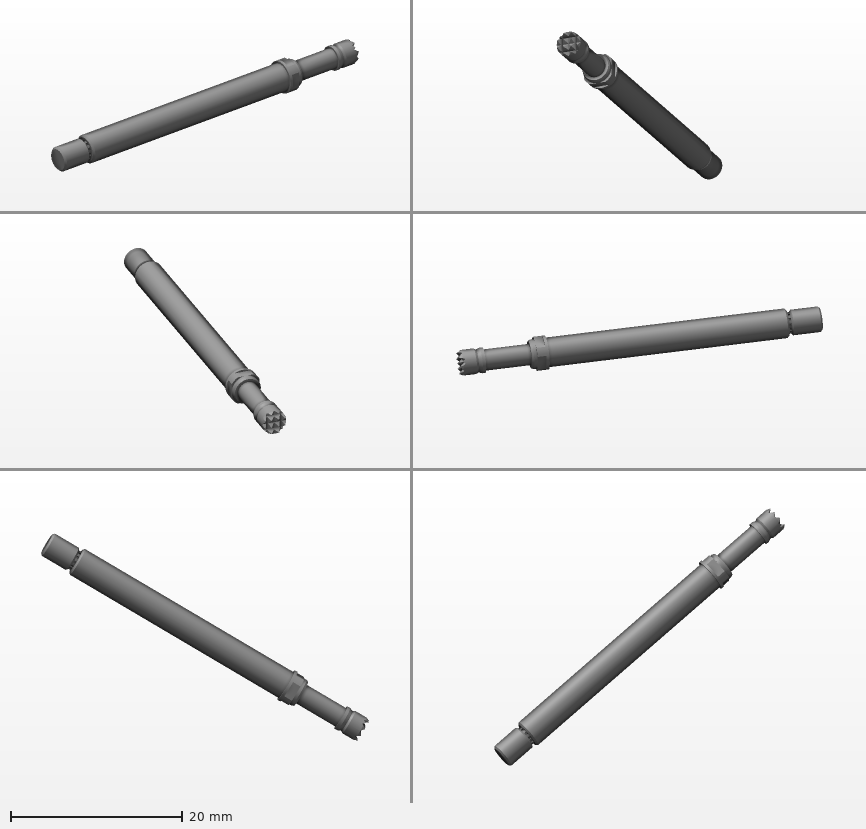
import cadquery as cq
import math

LENGTH = 43.1

COLLAR_RADIUS = 2.005
SLEEVE_RADIUS = 1.745
HEAD_RADIUS = 1.5
TAIL_RADIUS = HEAD_RADIUS
PLUNGER_RADIUS = 1.25
TAIL_NECK_RADIUS = PLUNGER_RADIUS
HEAD_GROOVE_DEPTH = 0.17

TAIL_SHOULDER = 3.45
SLEEVE_START = 3.95
COLLAR_START = 32.6
COLLAR_END = 33.95
SLEEVE_END = 34.6
HEAD_START = 40.05
HEAD_GROOVE_START = 40.43
HEAD_GROOVE_FLOOR = 40.85
HEAD_GROOVE_END = 41.1

EDGE_CHAMFER = 0.2
TAIL_SHOULDER_CHAMFER = 0.2
SLEEVE_RIM_WIDTH = 0.15
SLEEVE_RIM_HEIGHT = 0.25

FLUTE_COUNT = 12
FLUTE_DEPTH = 0.2
FLUTE_WIDTH = 2 * TAIL_NECK_RADIUS * math.sin(math.pi / FLUTE_COUNT / 2)

FLAT_COUNT = 4
FLAT_START = 32.93
FLAT_DISTANCE = SLEEVE_RADIUS

CROWN_QUARTERS = 4
CROWN_HEIGHT = 0.45
CROWN_TIP_RADIUS = 1.35
SIDE_GROOVE_OFFSET = 0.85
SIDE_GROOVE_WIDTH = 0.78
SIDE_GROOVE_ANGLE = 60.0
MIDDLE_GROOVE_WIDTH = 2 * SIDE_GROOVE_OFFSET - SIDE_GROOVE_WIDTH
MIDDLE_GROOVE_ANGLE = 90.0


def turned_body():
    """Revolve the half section, listed as (radius, Y) from the tail to the crown."""
    crown_base = LENGTH - CROWN_HEIGHT
    outline = [
        (0, 0),
        (TAIL_RADIUS - EDGE_CHAMFER, 0),
        (TAIL_RADIUS, EDGE_CHAMFER),
        (TAIL_RADIUS, TAIL_SHOULDER),
        (TAIL_NECK_RADIUS, TAIL_SHOULDER + TAIL_SHOULDER_CHAMFER),
        (TAIL_NECK_RADIUS, SLEEVE_START),
        (SLEEVE_RADIUS - EDGE_CHAMFER, SLEEVE_START),
        (SLEEVE_RADIUS, SLEEVE_START + EDGE_CHAMFER),
        (SLEEVE_RADIUS, COLLAR_START),
        (COLLAR_RADIUS, COLLAR_START),
        (COLLAR_RADIUS, COLLAR_END),
        (SLEEVE_RADIUS, COLLAR_END),
        (SLEEVE_RADIUS, SLEEVE_END - SLEEVE_RIM_HEIGHT),
        (SLEEVE_RADIUS - SLEEVE_RIM_WIDTH, SLEEVE_END),
        (PLUNGER_RADIUS, SLEEVE_END),
        (PLUNGER_RADIUS, HEAD_START),
        (HEAD_RADIUS, HEAD_START),
        (HEAD_RADIUS, HEAD_GROOVE_START),
        (HEAD_RADIUS - HEAD_GROOVE_DEPTH, HEAD_GROOVE_FLOOR),
        (HEAD_RADIUS, HEAD_GROOVE_END),
        (HEAD_RADIUS, crown_base),
        (CROWN_TIP_RADIUS, LENGTH),
        (0, LENGTH),
    ]
    return cq.Workplane("XY").polyline(outline).close().revolve(360, (0, 0), (0, 1))


def collar_flat():
    """Block that trims the +Z side of the collar down to the flat."""
    return (
        cq.Workplane("XY", origin=(0, 0, FLAT_DISTANCE))
        .rect(2 * COLLAR_RADIUS, 2 * (COLLAR_END - FLAT_START))
        .extrude(COLLAR_RADIUS)
        .translate((0, COLLAR_END, 0))
    )


def neck_flute():
    """Block that cuts one shallow flute into the +Z side of the tail neck."""
    start = TAIL_SHOULDER + TAIL_SHOULDER_CHAMFER
    return (
        cq.Workplane("XZ", origin=(0, SLEEVE_START, 0))
        .center(0, TAIL_NECK_RADIUS)
        .rect(FLUTE_WIDTH, 2 * FLUTE_DEPTH)
        .extrude(SLEEVE_START - start)
    )


def v_groove(offset, width, angle):
    """V cutter running along Z across the end of the head, centred at X = offset."""
    depth = width / 2 / math.tan(math.radians(angle / 2))
    return (
        cq.Workplane("XY")
        .moveTo(offset - width / 2, LENGTH)
        .lineTo(offset, LENGTH - depth)
        .lineTo(offset + width / 2, LENGTH)
        .close()
        .extrude(HEAD_RADIUS, both=True)
    )


def cut_around(body, cutter, count):
    """Cut the body with evenly spaced copies of the cutter, turned about the Y axis."""
    for i in range(count):
        body = body.cut(cutter.rotate((0, 0, 0), (0, 1, 0), i * 360 / count))
    return body


result = turned_body()
result = cut_around(result, collar_flat(), FLAT_COUNT)
result = cut_around(result, neck_flute(), FLUTE_COUNT)

side_groove = v_groove(SIDE_GROOVE_OFFSET, SIDE_GROOVE_WIDTH, SIDE_GROOVE_ANGLE)
middle_groove = v_groove(0, MIDDLE_GROOVE_WIDTH, MIDDLE_GROOVE_ANGLE)
result = cut_around(result, side_groove, CROWN_QUARTERS)
result = cut_around(result, middle_groove, CROWN_QUARTERS)